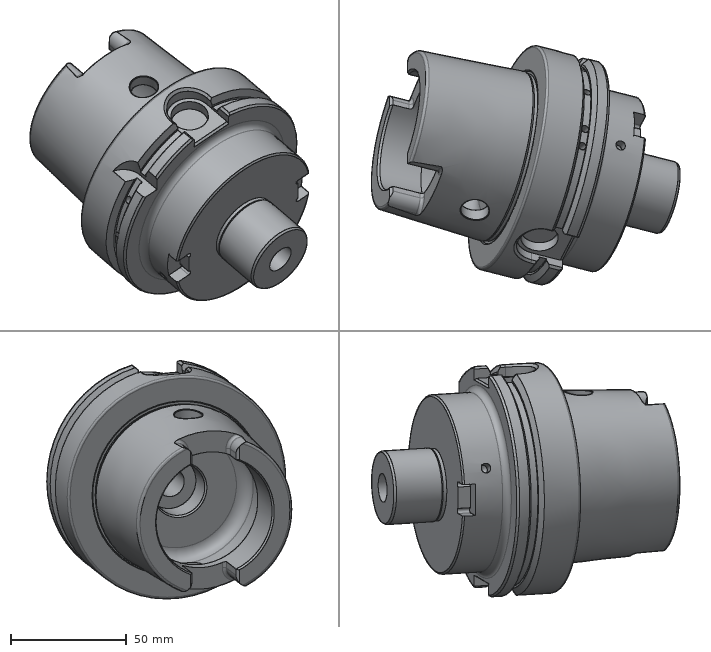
import cadquery as cq
import math


total_length = 124.0
shank_length = 50.0
flange_width = 29.1
collar_end = 50.0
spigot_end = total_length - shank_length

gauge_radius = 37.5
gauge_distance = 10.0
taper_slope = 1 / 20
mouth_round = 1.2
relief_start = 1.9
relief_taper = 0.9
relief_radius = 37.3
relief_outer_radius = 38.9
relief_depth = 0.5

flange_radius = 50.0
flange_edge_round = 1.0
flange_bevel_length = 1.1
flange_bevel_drop = 0.6
groove_center = 20.1
groove_floor_radius = 46.0
groove_floor_width = 3.3
groove_mouth_width = 6.7

collar_radius = 38.9
collar_fillet = 3.0
collar_chamfer = 0.7
spigot_radius = 16.0
spigot_chamfer_length = 1.1
spigot_chamfer_drop = 0.5
neck_depth = 0.2
neck_width = 1.6
neck_taper = 0.6

bore_radius = 26.5
bore_chamfer_length = 1.1
bore_chamfer_depth = 0.6
clamp_groove_start = -30.0
clamp_groove_radius = 31.5
bore_floor = -3.8
bore_floor_fillet = 5.7
socket_radius = 11.5
socket_chamfer = 0.7
socket_depth = 12.4
coolant_radius = 6.2

mouth_slot_half_width = 10.0
mouth_slot_flare_start = 27.4
mouth_slot_flare_radius = 5.0
mouth_slot_fillet = 1.5
mouth_slot_bevel_size = 1.1
mouth_slot_depth_top = 10.0
mouth_slot_depth_bottom = 15.0

cross_hole_x = -14.9
cross_hole_radius = 6.1
cross_hole_chamfer = 0.31

flange_slot_center = 14.9
flange_slot_half_width = 9.9
flange_slot_floor = 43.6
flange_slot_chamfer = 1.18
pocket_radius = 8.0
pocket_depth = 5.0

notch_floor = 31.5
notch_start = 8.4
notch_end_radius = 9.9

key_slot_width = 13.9
key_slot_depth = 5.6
key_slot_floor = 31.6
key_slot_relief_radius = 1.1

groove_hole_angles = (30, 5, -20, -30)
groove_hole_radius = 1.6
groove_hole_depth = 9.9
collar_hole_x = 38.9
collar_hole_angles = (-20, 160)
collar_hole_radius = 2.1
collar_hole_depth = 5.0
drill_point_angle = 118.0

BEYOND = 12.4


def taper_radius(x):
    return gauge_radius + (x + gauge_distance) * taper_slope


def revolve_profile(profile):
    return profile.close().revolve(360, (0, 0, 0), (1, 0, 0))


def cross_section(x):
    """Workplane facing +X at the given place, whose local axes are Y and Z."""
    return cq.Workplane("YZ", origin=(x, 0, 0))


def mirror_pair(body, plane):
    return body.union(body.mirror(plane))


def make_shank():
    neck_start = -relief_start + relief_taper
    profile = (
        cq.Workplane("XY")
        .moveTo(-shank_length, 0)
        .lineTo(-shank_length, taper_radius(-shank_length))
        .lineTo(-relief_start, taper_radius(-relief_start))
        .lineTo(neck_start, relief_radius)
        .lineTo(flange_width, relief_radius)
        .lineTo(flange_width, 0)
    )
    return revolve_profile(profile).faces("<X").edges().fillet(mouth_round)


def make_flange():
    profile = (
        cq.Workplane("XY")
        .lineTo(0, flange_radius)
        .lineTo(flange_width - flange_bevel_length, flange_radius)
        .lineTo(flange_width, flange_radius - flange_bevel_drop)
        .lineTo(flange_width, 0)
    )
    return revolve_profile(profile).faces("<X").edges().fillet(flange_edge_round)


def make_collar_and_spigot():
    fillet_end = flange_width + collar_fillet
    neck_end = collar_end + neck_width
    neck_radius = spigot_radius - neck_depth
    mid = collar_fillet * (1 - math.sqrt(0.5))
    profile = (
        cq.Workplane("XY")
        .moveTo(flange_width, 0)
        .lineTo(flange_width, collar_radius + collar_fillet)
        .threePointArc((flange_width + mid, collar_radius + mid), (fillet_end, collar_radius))
        .lineTo(collar_end - collar_chamfer, collar_radius)
        .lineTo(collar_end, collar_radius - collar_chamfer)
        .lineTo(collar_end, neck_radius)
        .lineTo(neck_end, neck_radius)
        .lineTo(neck_end + neck_taper, spigot_radius)
        .lineTo(spigot_end - spigot_chamfer_length, spigot_radius)
        .lineTo(spigot_end, spigot_radius - spigot_chamfer_drop)
        .lineTo(spigot_end, 0)
    )
    return revolve_profile(profile)


def flange_slot_cutter():
    """Round-ended slot open toward +X, with a round pocket in its floor."""
    half = flange_slot_half_width
    height = flange_radius + BEYOND - flange_slot_floor
    run = flange_width - flange_slot_center
    floor_plane = cq.Workplane("XY", origin=(flange_slot_center, 0, flange_slot_floor))
    round_end = floor_plane.circle(half).extrude(height)
    straight = floor_plane.center(run / 2, 0).rect(run, 2 * half).extrude(height)
    pocket = floor_plane.circle(pocket_radius).extrude(-pocket_depth)
    return round_end.union(straight), pocket


def flange_slot_lip():
    """Wedge that bevels the open end of the slot floor."""
    profile = (
        cq.Workplane("XZ", origin=(flange_width, 0, flange_slot_floor))
        .moveTo(-flange_bevel_length, 0)
        .lineTo(0, 0)
        .lineTo(0, -flange_bevel_drop)
        .close()
    )
    return profile.extrude(flange_slot_half_width, both=True)


def cut_flange_slots(flange):
    slot, pocket = flange_slot_cutter()
    flange = flange.cut(mirror_pair(slot, "XY"))
    reach = flange_slot_half_width + 0.1
    for side in (1, -1):
        rim = cq.selectors.BoxSelector(
            (flange_slot_center - reach, -reach, side * (flange_slot_floor + flange_slot_chamfer)),
            (flange_width - flange_bevel_length, reach, side * flange_radius),
        )
        flange = flange.edges(rim).edges("not |Z").chamfer(flange_slot_chamfer)
    return flange.cut(mirror_pair(pocket, "XY")).cut(mirror_pair(flange_slot_lip(), "XY"))


def gripper_groove():
    half_floor = groove_floor_width / 2
    half_mouth = groove_mouth_width / 2
    shoulder = flange_radius - (flange_radius - groove_floor_radius) * 0.75
    profile = (
        cq.Workplane("XY")
        .moveTo(groove_center - half_floor, groove_floor_radius)
        .lineTo(groove_center - half_floor, shoulder)
        .lineTo(groove_center - half_mouth, flange_radius)
        .lineTo(groove_center - half_mouth, flange_radius + 1.2)
        .lineTo(groove_center + half_mouth, flange_radius + 1.2)
        .lineTo(groove_center + half_mouth, flange_radius)
        .lineTo(groove_center + half_floor, shoulder)
        .lineTo(groove_center + half_floor, groove_floor_radius)
    )
    return revolve_profile(profile)


def face_relief():
    """Shallow ring recess in the contact face around the taper."""
    profile = (
        cq.Workplane("XY")
        .moveTo(0, relief_radius)
        .lineTo(relief_depth, relief_radius)
        .lineTo(relief_depth, relief_outer_radius - relief_depth)
        .lineTo(0, relief_outer_radius)
    )
    return revolve_profile(profile)


def orientation_notch():
    length = flange_width - notch_start
    size = flange_radius
    box = cq.Workplane("XY").box(length, size, size, centered=False)
    box = box.translate((notch_start, -notch_floor - size, notch_floor))
    return box.edges("|Z and <X and >Y").fillet(notch_end_radius)


def clamping_bore():
    fillet_mid = bore_floor_fillet * (1 - math.sqrt(0.5))
    socket_floor = bore_floor + socket_depth
    profile = (
        cq.Workplane("XY")
        .moveTo(-shank_length, 0)
        .lineTo(-shank_length, bore_radius + bore_chamfer_depth)
        .lineTo(-shank_length + bore_chamfer_length, bore_radius)
        .lineTo(clamp_groove_start, bore_radius)
        .lineTo(clamp_groove_start, clamp_groove_radius)
        .lineTo(bore_floor - bore_floor_fillet, clamp_groove_radius)
        .threePointArc(
            (bore_floor - fillet_mid, clamp_groove_radius - fillet_mid),
            (bore_floor, clamp_groove_radius - bore_floor_fillet),
        )
        .lineTo(bore_floor, socket_radius + socket_chamfer)
        .lineTo(bore_floor + socket_chamfer, socket_radius)
        .lineTo(socket_floor, socket_radius)
        .lineTo(socket_floor, coolant_radius)
        .lineTo(spigot_end, coolant_radius)
        .lineTo(spigot_end, 0)
    )
    return revolve_profile(profile)


def mouth_slot(depth):
    """Drive slot on the +Z side of the mouth, flaring outward along two arcs."""
    half = mouth_slot_half_width
    flare = mouth_slot_flare_radius
    low = mouth_slot_flare_start
    side = flare * (1 - math.sqrt(0.5))
    rise = flare * math.sqrt(0.5)
    top = gauge_radius + BEYOND
    wide = half + flare + BEYOND
    profile = (
        cross_section(-shank_length)
        .moveTo(-half, 0)
        .lineTo(half, 0)
        .lineTo(half, low)
        .threePointArc((half + side, low + rise), (half + flare, low + flare))
        .lineTo(wide, low + flare)
        .lineTo(wide, top)
        .lineTo(-wide, top)
        .lineTo(-wide, low + flare)
        .lineTo(-half - flare, low + flare)
        .threePointArc((-half - side, low + rise), (-half, low))
        .close()
    )
    return profile.extrude(depth).faces(">X").edges().fillet(mouth_slot_fillet)


def mouth_slot_bevel():
    """Wedge along Z that bevels the end edges of both mouth slots."""
    wide = mouth_slot_half_width + mouth_slot_bevel_size
    profile = (
        cq.Workplane("XY", origin=(-shank_length, 0, 0))
        .moveTo(0, -wide)
        .lineTo(0, wide)
        .lineTo(mouth_slot_bevel_size, mouth_slot_half_width)
        .lineTo(mouth_slot_bevel_size, -mouth_slot_half_width)
        .close()
    )
    return profile.extrude(flange_radius, both=True)


def cut_mouth_slots(shank):
    shank = shank.cut(mouth_slot(mouth_slot_depth_top))
    shank = shank.cut(mouth_slot(mouth_slot_depth_bottom).mirror("XY"))
    return shank.cut(mouth_slot_bevel())


def cut_cross_hole(shank):
    """Hole through both walls of the shank, with its outer rims chamfered."""
    plane = cq.Workplane("XY", origin=(cross_hole_x, 0, 0))
    shank = shank.cut(plane.circle(cross_hole_radius).extrude(flange_radius, both=True))
    reach = cross_hole_radius + 0.1
    for side in (1, -1):
        rim = cq.selectors.BoxSelector(
            (cross_hole_x - reach, -reach, side * (clamp_groove_radius + 1.2)),
            (cross_hole_x + reach, reach, side * flange_radius),
        )
        shank = shank.edges(rim).edges("not |Z").chamfer(cross_hole_chamfer)
    return shank


def key_slots():
    """Slots in the collar face on the -Y and +Y sides, with round reliefs along the floor corners."""
    depth = collar_radius + BEYOND - key_slot_floor
    slot = cq.Workplane("XY").box(key_slot_depth, depth, key_slot_width, centered=(False, False, True))
    slot = slot.translate((collar_end - key_slot_depth, key_slot_floor, 0))
    relief_offset = key_slot_width / 2 - key_slot_relief_radius
    reliefs = (
        cross_section(collar_end - key_slot_depth)
        .pushPoints([(key_slot_floor, relief_offset), (key_slot_floor, -relief_offset)])
        .circle(key_slot_relief_radius)
        .extrude(key_slot_depth)
    )
    return mirror_pair(slot.union(reliefs), "XZ")


def radial_hole(x, angle, surface_radius, radius, depth):
    """Drilled hole with a conical point, entering from the given angle."""
    point = radius / math.tan(math.radians(drill_point_angle / 2))
    bottom = surface_radius - depth
    profile = (
        cq.Workplane("XY")
        .moveTo(0, -bottom + point)
        .lineTo(radius, -bottom)
        .lineTo(radius, -surface_radius - 1.2)
        .lineTo(0, -surface_radius - 1.2)
        .close()
    )
    drill = profile.revolve(360, (0, 0, 0), (0, 1, 0))
    return drill.translate((x, 0, 0)).rotate((0, 0, 0), (1, 0, 0), -angle)


flange = cut_flange_slots(make_flange())
flange = flange.cut(gripper_groove()).cut(face_relief()).cut(orientation_notch())

result = flange.union(cut_cross_hole(cut_mouth_slots(make_shank()))).union(make_collar_and_spigot())
result = result.cut(clamping_bore())
result = result.cut(key_slots())
for angle in groove_hole_angles:
    result = result.cut(
        radial_hole(groove_center, angle, groove_floor_radius, groove_hole_radius, groove_hole_depth)
    )
for angle in collar_hole_angles:
    result = result.cut(
        radial_hole(collar_hole_x, angle, collar_radius, collar_hole_radius, collar_hole_depth)
    )